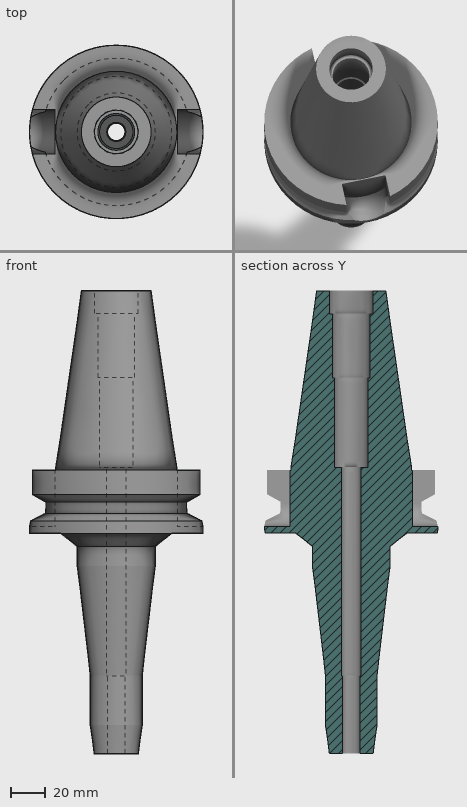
import cadquery as cq
import math

SHANK_LENGTH = 101.8
PROJECTION = 165.0

GAUGE_RADIUS = 69.85 / 2
TAPER_RATIO = 7 / 24
SHANK_END_RADIUS = GAUGE_RADIUS - SHANK_LENGTH * TAPER_RATIO / 2

FLANGE_RADIUS = 50.0
FLANGE_TOP_Z = -1.5
FLANGE_BOTTOM_Z = -38.0
GROOVE_CENTRE_Z = -23.2
GROOVE_FLOOR_RADIUS = 42.5
GROOVE_FLOOR_HALF_WIDTH = 3.25
GROOVE_WALL_ANGLE = 30.0
GROOVE_MOUTH_HALF_WIDTH = GROOVE_FLOOR_HALF_WIDTH + (
    FLANGE_RADIUS - GROOVE_FLOOR_RADIUS
) * math.tan(math.radians(GROOVE_WALL_ANGLE))

SLOT_WIDTH = 25.7
SLOT_FLOOR_X = 35.4
SLOT_BOTTOM_Z = -34.0

COLLAR_CONE_RADIUS = 32.0
COLLAR_RADIUS = 22.5
COLLAR_TOP_Z = -45.5
COLLAR_BOTTOM_Z = -57.0
NECK_RADIUS = 15.0
NECK_TOP_Z = -120.0
NECK_BOTTOM_Z = -148.5
NOSE_RADIUS = 12.75

MOUTH_BORE_RADIUS = 12.5
MOUTH_BORE_DEPTH = 13.2
THREAD_BORE_RADIUS = 10.6
THREAD_BORE_DEPTH = 50.0
INNER_BORE_RADIUS = 9.6
INNER_BORE_DEPTH = SHANK_LENGTH
SCREW_BORE_RADIUS = 5.5
SCREW_BORE_DEPTH = SHANK_LENGTH - NECK_TOP_Z
THROUGH_BORE_RADIUS = 5.0


def make_body():
    """Revolve the half profile of shank, flange and nose about Z."""
    profile = [
        (0, SHANK_LENGTH),
        (SHANK_END_RADIUS, SHANK_LENGTH),
        (GAUGE_RADIUS, 0),
        (GAUGE_RADIUS, FLANGE_TOP_Z),
        (FLANGE_RADIUS, FLANGE_TOP_Z),
        (FLANGE_RADIUS, GROOVE_CENTRE_Z + GROOVE_MOUTH_HALF_WIDTH),
        (GROOVE_FLOOR_RADIUS, GROOVE_CENTRE_Z + GROOVE_FLOOR_HALF_WIDTH),
        (GROOVE_FLOOR_RADIUS, GROOVE_CENTRE_Z - GROOVE_FLOOR_HALF_WIDTH),
        (FLANGE_RADIUS, GROOVE_CENTRE_Z - GROOVE_MOUTH_HALF_WIDTH),
        (FLANGE_RADIUS, FLANGE_BOTTOM_Z),
        (COLLAR_CONE_RADIUS, FLANGE_BOTTOM_Z),
        (COLLAR_RADIUS, COLLAR_TOP_Z),
        (COLLAR_RADIUS, COLLAR_BOTTOM_Z),
        (NECK_RADIUS, NECK_TOP_Z),
        (NECK_RADIUS, NECK_BOTTOM_Z),
        (NOSE_RADIUS, -PROJECTION),
        (0, -PROJECTION),
    ]
    return cq.Workplane("YZ").polyline(profile).close().revolve(360, (0, 0), (0, 1))


def make_drive_slot(side):
    """Cutter for one drive slot; side is +1 or -1 along X."""
    half_width = SLOT_WIDTH / 2
    arc_start_z = SLOT_BOTTOM_Z + half_width
    outline = (
        cq.Workplane("YZ", origin=(side * SLOT_FLOOR_X, 0, 0))
        .moveTo(-half_width, FLANGE_TOP_Z)
        .lineTo(-half_width, arc_start_z)
        .threePointArc((0, SLOT_BOTTOM_Z), (half_width, arc_start_z))
        .lineTo(half_width, FLANGE_TOP_Z)
        .close()
    )
    return outline.extrude(side * FLANGE_RADIUS)


def make_bore_step(radius, depth):
    """Cylinder sunk from the shank end to the given depth."""
    return cq.Workplane("XY").workplane(offset=SHANK_LENGTH - depth).circle(radius).extrude(depth)


result = make_body()
for slot_side in (-1, 1):
    result = result.cut(make_drive_slot(slot_side))

bore_steps = [
    (MOUTH_BORE_RADIUS, MOUTH_BORE_DEPTH),
    (THREAD_BORE_RADIUS, THREAD_BORE_DEPTH),
    (INNER_BORE_RADIUS, INNER_BORE_DEPTH),
    (SCREW_BORE_RADIUS, SCREW_BORE_DEPTH),
    (THROUGH_BORE_RADIUS, SHANK_LENGTH + PROJECTION),
]
for step_radius, step_depth in bore_steps:
    result = result.cut(make_bore_step(step_radius, step_depth))